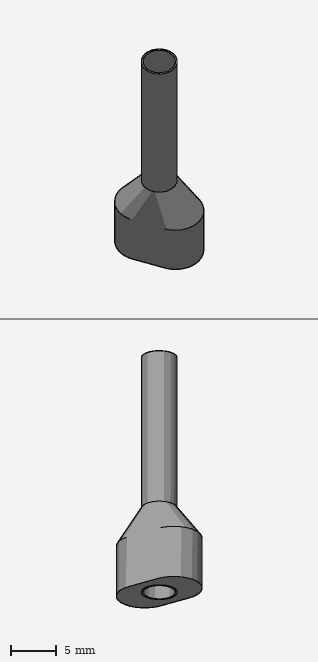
import cadquery as cq

total_height = 28.0
collar_length = 10.0
collar_width = 6.2

straight_height = 6.0
collar_height = 10.0

tube_diameter = 3.92
bore_diameter = 3.5

end_radius = collar_width / 2
end_offset = collar_length / 2 - end_radius
tube_radius = tube_diameter / 2
taper_height = collar_height - straight_height


def make_taper_end():
    """Half of a slanted cone, from the +X rounded end to the tube's +X half."""
    return (
        cq.Workplane("XY", origin=(0, 0, straight_height))
        .moveTo(end_offset, -end_radius)
        .threePointArc((end_offset + end_radius, 0), (end_offset, end_radius))
        .close()
        .workplane(offset=taper_height)
        .moveTo(0, -tube_radius)
        .threePointArc((tube_radius, 0), (0, tube_radius))
        .close()
        .loft(ruled=True)
    )


def make_taper_middle():
    """Wedge between the two cone halves, narrowing to a ridge along Y.

    A triangular prism is trimmed by the sloping flat faces of the collar.
    """
    triangle = (
        cq.Workplane("XZ")
        .polyline([(-end_offset, straight_height), (end_offset, straight_height), (0, collar_height)])
        .close()
        .extrude(end_radius, both=True)
    )
    trapezoid = (
        cq.Workplane("YZ")
        .polyline([
            (-end_radius, straight_height),
            (end_radius, straight_height),
            (tube_radius, collar_height),
            (-tube_radius, collar_height),
        ])
        .close()
        .extrude(end_offset, both=True)
    )
    return triangle.intersect(trapezoid)


def make_collar():
    """Oval insulating collar with a tapered top and a hole that fits the tube."""
    straight = cq.Workplane("XY").slot2D(collar_length, collar_width).extrude(straight_height)
    taper_end = make_taper_end()
    body = (
        straight
        .union(make_taper_middle())
        .union(taper_end)
        .union(taper_end.mirror("YZ"))
    )
    tube_hole = cq.Workplane("XY").circle(tube_radius).extrude(collar_height)
    return body.cut(tube_hole)


def make_tube():
    """Thin-walled tube running the full height, through the collar."""
    return cq.Workplane("XY").circle(tube_radius).circle(bore_diameter / 2).extrude(total_height)


collar = make_collar()
tube = make_tube()

result = cq.Compound.makeCompound([collar.solids().val(), tube.val()])